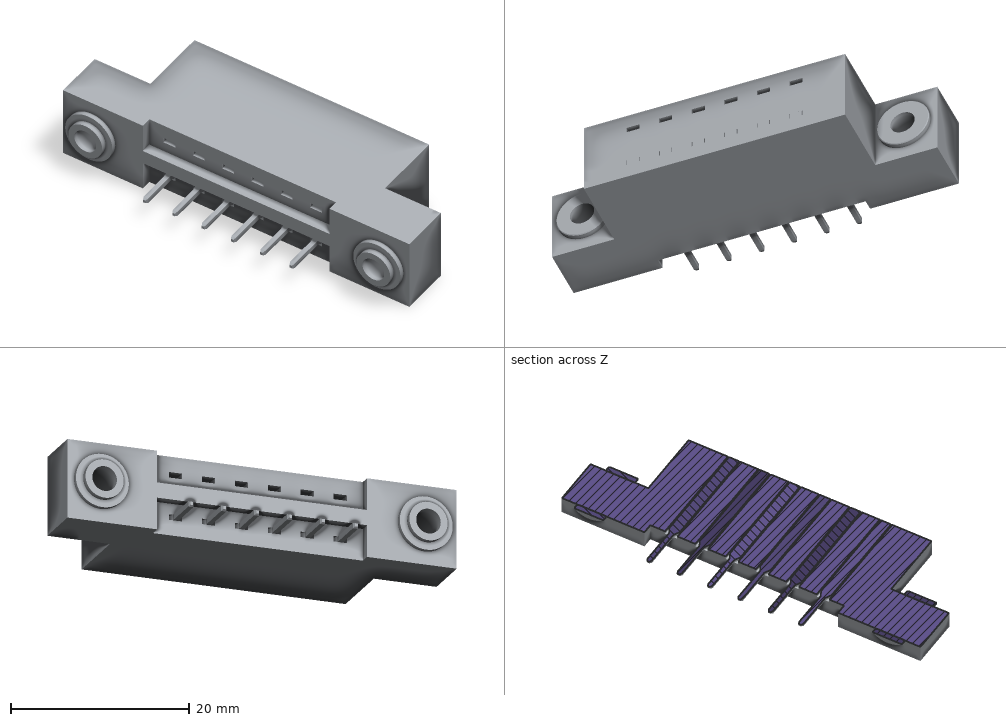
import cadquery as cq


ear_span = 46.8
body_width = 31.72
height = 9.4
housing_depth = 15.25
ear_depth = 6.35
recess_width = 25.2
recess_depth = 1.3
rail_height = 1.82

contact_count = 6
row_length = 19.8
pitch = row_length / (contact_count - 1)
row_offset = 2.55
slot_width = 1.6
slot_height = 0.65

pin_width = 0.6
side_clearance = 0.1
blade_width = slot_width - 2 * side_clearance
shoulder_start = recess_depth
shoulder_length = 0.75
pin_reach = 3.8
tip_length = 0.35
tip_inset = 0.15

bushing_offset = 19.45
flange_diameter = 6.35
barrel_diameter = 4.6
bore_diameter = 2.95
flange_thickness = 0.7
boss_length = 0.7
flange_chamfer = 0.1

contact_positions = [-row_length / 2 + i * pitch for i in range(contact_count)]
bushing_positions = [-bushing_offset, bushing_offset]


def box_from(width, start, end, tall, x=0.0, z=0.0):
    """Box centred on x and z that runs from Y = start to Y = end."""
    return cq.Workplane("XY").box(width, end - start, tall).translate((x, (start + end) / 2, z))


def cylinder_from(diameter, start, end, x):
    """Cylinder along Y from Y = start to Y = end, at Z = 0."""
    plane = cq.Plane(origin=(x, start, 0), xDir=(1, 0, 0), normal=(0, 1, 0))
    return cq.Workplane(plane).circle(diameter / 2).extrude(end - start)


def make_housing():
    """Stepped block with two front recesses, two rows of slots and bushing holes."""
    housing = box_from(ear_span, 0, ear_depth, height)
    housing = housing.union(box_from(body_width, 0, housing_depth, height))

    recess_height = (height - rail_height) / 2
    recess_z = (height + rail_height) / 4
    for side in (-1, 1):
        housing = housing.cut(box_from(recess_width, 0, recess_depth, recess_height, z=side * recess_z))
        for x in contact_positions:
            housing = housing.cut(box_from(slot_width, 0, housing_depth, slot_height, x, side * row_offset))

    for x in bushing_positions:
        housing = housing.cut(cylinder_from(barrel_diameter, 0, ear_depth, x))
    return housing


def make_contact(x):
    """Flat blade in a lower slot, narrowing at sloped shoulders to a pin with a pointed tip."""
    half_blade = blade_width / 2
    half_pin = pin_width / 2
    shoulder_end = shoulder_start + shoulder_length
    tip_start = -pin_reach + tip_length
    half_outline = [
        (half_pin, tip_start),
        (half_pin, shoulder_start),
        (half_blade, shoulder_end),
        (half_blade, housing_depth),
    ]
    mirrored = [(-px, py) for px, py in reversed(half_outline)]
    contact = (
        cq.Workplane("XY")
        .polyline(half_outline + mirrored)
        .close()
        .extrude(slot_height / 2, both=True)
    )
    tip_plane = cq.Plane(origin=(0, tip_start, 0), xDir=(1, 0, 0), normal=(0, -1, 0))
    tip = (
        cq.Workplane(tip_plane)
        .rect(pin_width, slot_height)
        .workplane(offset=tip_length)
        .rect(pin_width - 2 * tip_inset, slot_height - 2 * tip_inset)
        .loft(ruled=True)
    )
    return contact.union(tip).translate((x, 0, -row_offset))


def make_bushing(x):
    """Bored barrel through an ear, with a flange on each side and a boss at the front.

    Both flanges are chamfered on their +Y rim.
    """
    bushing = cylinder_from(barrel_diameter, -flange_thickness - boss_length, ear_depth, x)
    for flange_start in (-flange_thickness, ear_depth):
        flange = cylinder_from(flange_diameter, flange_start, flange_start + flange_thickness, x)
        flange = flange.faces(">Y").edges().chamfer(flange_chamfer)
        bushing = bushing.union(flange)
    bore = cylinder_from(bore_diameter, -flange_thickness - boss_length, ear_depth + flange_thickness, x)
    return bushing.cut(bore)


housing = make_housing()
contacts = [make_contact(x) for x in contact_positions]
bushings = [make_bushing(x) for x in bushing_positions]

result = cq.Compound.makeCompound(
    [
        housing.val(),
        *[contact.val() for contact in contacts],
        *[bushing.val() for bushing in bushings],
    ]
)